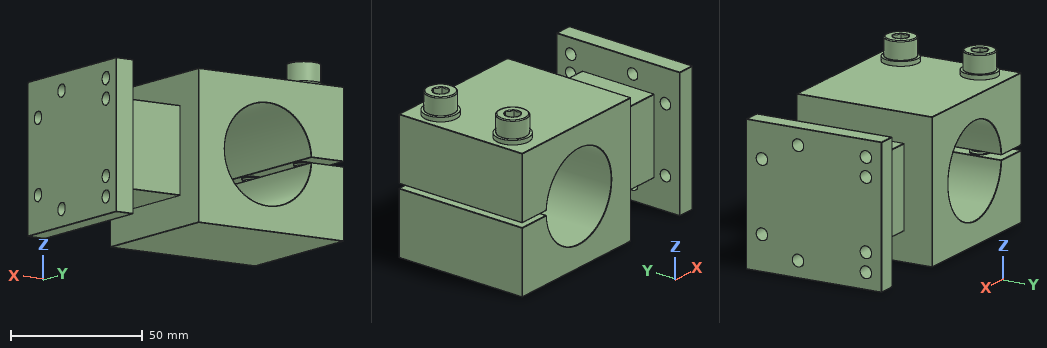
import cadquery as cq
import math

TOTAL_LENGTH = 105.0
BLOCK_SIZE = 60.0
BLOCK_LENGTH = 67.0
FLANGE_THICKNESS = 8.0
NECK_SIZE = 35.0
NECK_LENGTH = TOTAL_LENGTH - BLOCK_LENGTH - FLANGE_THICKNESS
BLOCK_TOP = BLOCK_SIZE / 2

BORE_DIAMETER = 40.0
BORE_X = 35.0
SLIT_HEIGHT = 2.0
EDGE_BREAK = 0.2

FLANGE_HOLE_DIAMETER = 5.0
HOLE_PATTERN_LONG = 46.0
HOLE_PATTERN_SHORT = 30.0
TURNED_PATTERN_Y = (HOLE_PATTERN_LONG - HOLE_PATTERN_SHORT) / 2

SCREW_X = 10.0
SCREW_SPACING = 35.0
SCREW_POSITIONS = [(SCREW_X, side * SCREW_SPACING / 2) for side in (-1, 1)]
SHANK_DIAMETER = 8.0
SHANK_LENGTH = 40.0
HEAD_DIAMETER = 13.0
HEAD_HEIGHT = 8.0
HEAD_EDGE_CHAMFER = 0.4
HEAD_FOOT_CHAMFER = 0.2
SOCKET_ACROSS_FLATS = 6.0
SOCKET_DEPTH = 4.0
SOCKET_MOUTH_DIAMETER = 6.8

THREAD_ROOT_DIAMETER = 6.7
THREAD_PITCH = 1.3
THREAD_TURNS = 22

WASHER_DIAMETER = 15.0
WASHER_THICKNESS = 1.9

HEAD_SEAT = BLOCK_TOP + WASHER_THICKNESS
SCREW_TIP = HEAD_SEAT - SHANK_LENGTH


def box_along_x(start, length, size):
    """Square bar of the given section, running along X from start."""
    return cq.Workplane("YZ", origin=(start, 0, 0)).rect(size, size).extrude(length)


def cylinder_up(x, y, bottom, diameter, height):
    """Upright cylinder standing on the given level."""
    return cq.Workplane("XY", origin=(x, y, bottom)).circle(diameter / 2).extrude(height)


def flange_holes():
    """Both four-hole rectangles, drilled through the flange."""
    flange_face = cq.Workplane("YZ", origin=(BLOCK_LENGTH + NECK_LENGTH, 0, 0))
    upright = (
        flange_face.rect(HOLE_PATTERN_LONG, HOLE_PATTERN_SHORT, forConstruction=True)
        .vertices()
        .circle(FLANGE_HOLE_DIAMETER / 2)
        .extrude(FLANGE_THICKNESS)
    )
    turned = (
        flange_face.center(TURNED_PATTERN_Y, 0)
        .rect(HOLE_PATTERN_SHORT, HOLE_PATTERN_LONG, forConstruction=True)
        .vertices()
        .circle(FLANGE_HOLE_DIAMETER / 2)
        .extrude(FLANGE_THICKNESS)
    )
    return upright.union(turned)


def clamp_block():
    """Block with its bore along Y and the slit that opens the bore to the -X end."""
    bore = (
        cq.Workplane(cq.Plane(origin=(BORE_X, 0, 0), xDir=(-1, 0, 0), normal=(0, 1, 0)))
        .circle(BORE_DIAMETER / 2)
        .extrude(BLOCK_SIZE / 2, both=True)
    )
    slit = cq.Workplane("XY").box(BORE_X, BLOCK_SIZE, SLIT_HEIGHT, centered=(False, True, True))
    block = box_along_x(0, BLOCK_LENGTH, BLOCK_SIZE).cut(bore).cut(slit)
    return block.edges().chamfer(EDGE_BREAK)


def make_bracket():
    neck = box_along_x(BLOCK_LENGTH, NECK_LENGTH, NECK_SIZE).edges("|X").chamfer(EDGE_BREAK)
    flange_start = BLOCK_LENGTH + NECK_LENGTH
    flange = box_along_x(flange_start, FLANGE_THICKNESS, BLOCK_SIZE).edges().chamfer(EDGE_BREAK)
    bracket = clamp_block().union(neck).union(flange)

    for x, y in SCREW_POSITIONS:
        bracket = bracket.cut(cylinder_up(x, y, SCREW_TIP, SHANK_DIAMETER, BLOCK_TOP - SCREW_TIP))

    return bracket.cut(flange_holes())


def make_washer(x, y):
    disc = cylinder_up(x, y, BLOCK_TOP, WASHER_DIAMETER, WASHER_THICKNESS)
    return disc.cut(cylinder_up(x, y, BLOCK_TOP, SHANK_DIAMETER, WASHER_THICKNESS))


def threaded_shank():
    """Shank below the head seat, with ring-shaped V threads up from its tip."""
    crest = SHANK_DIAMETER / 2
    root = THREAD_ROOT_DIAMETER / 2
    outline = cq.Workplane("XZ").moveTo(0, -SHANK_LENGTH).lineTo(crest, -SHANK_LENGTH)
    for turn in range(THREAD_TURNS):
        turn_bottom = turn * THREAD_PITCH - SHANK_LENGTH
        outline = outline.lineTo(root, turn_bottom + THREAD_PITCH / 2)
        outline = outline.lineTo(crest, turn_bottom + THREAD_PITCH)
    profile = outline.lineTo(crest, 0).lineTo(0, 0).close()
    return profile.revolve(360, (0, 0, 0), (0, 1, 0))


def socket_head():
    """Cylinder head on the seat, with a hexagon socket and a bevelled socket mouth."""
    head = cylinder_up(0, 0, 0, HEAD_DIAMETER, HEAD_HEIGHT)
    head = head.faces(">Z").edges().chamfer(HEAD_EDGE_CHAMFER)
    head = head.faces("<Z").edges().chamfer(HEAD_FOOT_CHAMFER)
    socket_corners = SOCKET_ACROSS_FLATS / math.cos(math.pi / 6)
    socket = (
        cq.Workplane("XY", origin=(0, 0, HEAD_HEIGHT))
        .transformed(rotate=(0, 0, 30))
        .polygon(6, socket_corners)
        .extrude(-SOCKET_DEPTH)
    )
    mouth_radius = SOCKET_MOUTH_DIAMETER / 2
    mouth = cq.Workplane(cq.Solid.makeCone(0, mouth_radius, mouth_radius))
    return head.cut(socket).cut(mouth.translate((0, 0, HEAD_HEIGHT - mouth_radius)))


def make_screw(x, y):
    return socket_head().union(threaded_shank()).translate((x, y, HEAD_SEAT))


bracket = make_bracket()
washers = [make_washer(x, y) for x, y in SCREW_POSITIONS]
screws = [make_screw(x, y) for x, y in SCREW_POSITIONS]

result = cq.Compound.makeCompound([body.val() for body in [bracket, *washers, *screws]])